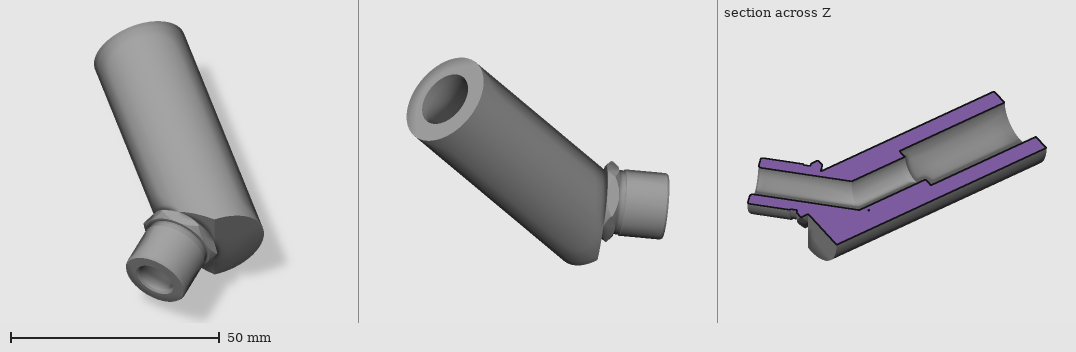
import cadquery as cq
import math

body_diameter = 23.0
body_length = 60.0
socket_diameter = 13.7
socket_depth = 30.0

bore_diameter = 9.0
turn_x = 47.1
turn_angle = 45.0

seat_distance = 9.8
fitting_length = 15.0
hex_across_flats = 17.0
hex_thickness = 2.9
neck_diameter = 15.4
neck_length = 1.6
step_length = 0.15
spigot_diameter = 16.0
spigot_chamfer_length = 0.5
spigot_chamfer_depth = 0.3
mouth_diameter = 9.95

turn = math.radians(turn_angle)
fitting_direction = cq.Vector(math.cos(turn), -math.sin(turn), 0)
across_direction = cq.Vector(math.sin(turn), math.cos(turn), 0)
turn_point = cq.Vector(turn_x, 0, 0)
seat_center = turn_point + fitting_direction * seat_distance
fitting_end = seat_center + fitting_direction * fitting_length
seat_plane = cq.Plane(origin=seat_center, xDir=across_direction, normal=fitting_direction)


def revolved_about_fitting(radius_and_height):
    """Solid of revolution about the fitting axis from (radius, height) corners."""
    bottom = radius_and_height[0][1]
    top = radius_and_height[-1][1]
    profile_plane = cq.Plane(
        origin=seat_center,
        xDir=across_direction,
        normal=across_direction.cross(fitting_direction),
    )
    profile = [(0, bottom)] + radius_and_height + [(0, top)]
    return cq.Workplane(profile_plane).polyline(profile).close().revolve(360, (0, 0), (0, 1))


def make_body():
    body = cq.Workplane("YZ").circle(body_diameter / 2).extrude(body_length)
    beyond_seat = (
        cq.Workplane(seat_plane)
        .rect(2 * body_length, 2 * body_diameter)
        .extrude(body_length)
    )
    return body.cut(beyond_seat)


def make_hex():
    """Hexagon with both faces bevelled at 45 degrees, tangent to each flat at its middle."""
    corner_radius = hex_across_flats / 2 / math.cos(math.pi / 6)
    face_radius = hex_across_flats / 2
    bevel_height = corner_radius - face_radius
    hexagon = cq.Workplane(seat_plane).polygon(6, 2 * corner_radius).extrude(hex_thickness)
    bevel_envelope = revolved_about_fitting([
        (face_radius, 0),
        (corner_radius, bevel_height),
        (corner_radius, hex_thickness - bevel_height),
        (face_radius, hex_thickness),
    ])
    return hexagon.intersect(bevel_envelope)


def make_spigot():
    """Relieved neck, a short tapered step, then the larger spigot with a chamfered tip."""
    neck_end = hex_thickness + neck_length
    return revolved_about_fitting([
        (neck_diameter / 2, 0),
        (neck_diameter / 2, neck_end),
        (spigot_diameter / 2, neck_end + step_length),
        (spigot_diameter / 2, fitting_length - spigot_chamfer_length),
        (spigot_diameter / 2 - spigot_chamfer_depth, fitting_length),
    ])


def make_passage():
    """Mitred bore through the body and fitting, with a socket and a countersunk mouth."""
    route = [(0, 0), (turn_point.x, turn_point.y), (fitting_end.x, fitting_end.y)]
    centerline = cq.Workplane("XY").polyline(route)
    bore = cq.Workplane("YZ").circle(bore_diameter / 2).sweep(centerline, transition="right")
    socket = cq.Workplane("YZ").circle(socket_diameter / 2).extrude(socket_depth)
    mouth_depth = (mouth_diameter - bore_diameter) / 2
    mouth = revolved_about_fitting([
        (bore_diameter / 2, fitting_length - mouth_depth),
        (mouth_diameter / 2, fitting_length),
    ])
    return bore.union(socket).union(mouth)


result = make_body().union(make_hex()).union(make_spigot()).cut(make_passage())